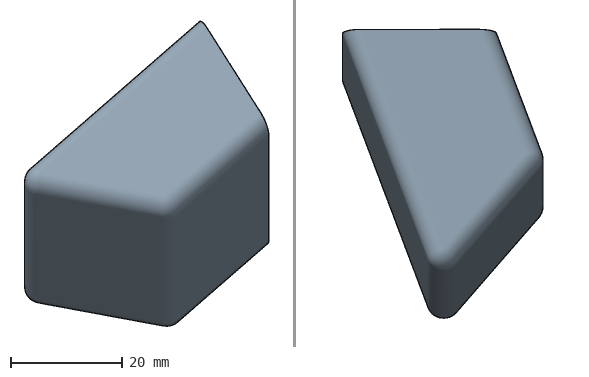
import cadquery as cq
import math

width = 26.0
length = 47.8
height = 38.0

edge_radius = 3.0

front_slope = math.tan(math.radians(30))
back_slope = math.tan(math.radians(20))

corner_drop = edge_radius * (front_slope + math.hypot(1, front_slope) - 1)
front_left = -corner_drop
front_right = front_left + width * front_slope
back_right = length - width * back_slope

prism = (
    cq.Workplane("XY")
    .polyline([(0, front_left), (width, front_right), (width, back_right), (0, length)])
    .close()
    .extrude(height)
)

back_edges = prism.faces(">Y").edges()
result = prism.edges().newObject(
    [edge for edge in prism.edges().vals() if not any(edge.isSame(sharp) for sharp in back_edges.vals())]
).fillet(edge_radius)